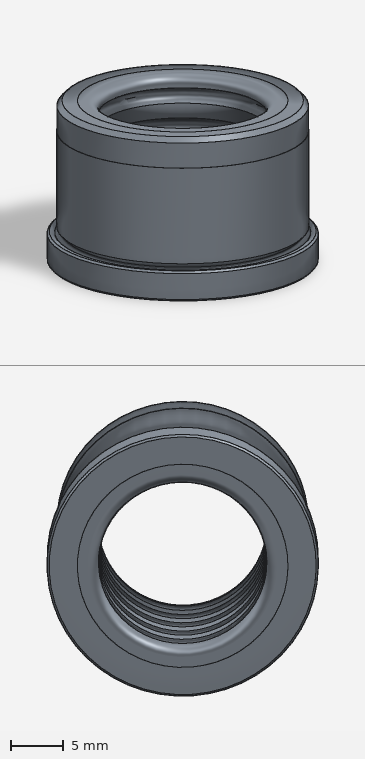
import cadquery as cq

HEIGHT = 16.0
FLANGE_RADIUS = 12.9
FLANGE_HEIGHT = 3.0
FLANGE_CHAMFER = 0.2

BARREL_RADIUS = 12.0
LEAD_RADIUS = 11.97
LEAD_LENGTH = 3.0
BARREL_CHAMFER = 0.5

RELIEF_OUTER_RADIUS = 12.5
RELIEF_SLOPE_END_RADIUS = 12.18
RELIEF_SLOPE_DROP = 0.08
RELIEF_ROOT_RADIUS = BARREL_RADIUS - BARREL_CHAMFER
RELIEF_WALL_DEPTH = 0.1

LINER_RADIUS = 10.0
BORE_RADIUS = 8.0
BORE_FILLET = 1.0
GROOVE_COUNT = 5
GROOVE_PITCH = 3.0
GROOVE_RADIUS = 0.75


def make_sleeve():
    """Flanged sleeve, revolved from its half section."""
    slope_end_z = FLANGE_HEIGHT - RELIEF_SLOPE_DROP
    root_z = FLANGE_HEIGHT - RELIEF_WALL_DEPTH
    undercut_radius = (RELIEF_SLOPE_END_RADIUS - RELIEF_ROOT_RADIUS) / 2
    undercut_bottom = (RELIEF_ROOT_RADIUS + undercut_radius, root_z - undercut_radius)
    section = (
        cq.Workplane("XZ")
        .moveTo(LINER_RADIUS, 0)
        .lineTo(FLANGE_RADIUS - FLANGE_CHAMFER, 0)
        .lineTo(FLANGE_RADIUS, FLANGE_CHAMFER)
        .lineTo(FLANGE_RADIUS, FLANGE_HEIGHT - FLANGE_CHAMFER)
        .lineTo(FLANGE_RADIUS - FLANGE_CHAMFER, FLANGE_HEIGHT)
        .lineTo(RELIEF_OUTER_RADIUS, FLANGE_HEIGHT)
        .lineTo(RELIEF_SLOPE_END_RADIUS, slope_end_z)
        .threePointArc(undercut_bottom, (RELIEF_ROOT_RADIUS, root_z))
        .lineTo(RELIEF_ROOT_RADIUS, FLANGE_HEIGHT)
        .lineTo(BARREL_RADIUS, FLANGE_HEIGHT + BARREL_CHAMFER)
        .lineTo(BARREL_RADIUS, HEIGHT - LEAD_LENGTH)
        .lineTo(LEAD_RADIUS, HEIGHT - LEAD_LENGTH)
        .lineTo(LEAD_RADIUS, HEIGHT - BARREL_CHAMFER)
        .lineTo(LEAD_RADIUS - BARREL_CHAMFER, HEIGHT)
        .lineTo(LINER_RADIUS, HEIGHT)
        .close()
    )
    return section.revolve(360, (0, 0, 0), (0, 1, 0))


def make_ring_groove(center_z):
    """Torus that cuts a half-round ring groove into the bore."""
    return (
        cq.Workplane("XZ")
        .center(BORE_RADIUS, center_z)
        .circle(GROOVE_RADIUS)
        .revolve(360, (-BORE_RADIUS, 0, 0), (-BORE_RADIUS, 1, 0))
    )


def make_liner():
    """Tube with rounded bore ends and evenly spaced ring grooves about mid-height."""
    liner = (
        cq.Workplane("XY")
        .circle(LINER_RADIUS)
        .circle(BORE_RADIUS)
        .extrude(HEIGHT)
    )
    bore_ends = cq.selectors.RadiusNthSelector(0)
    liner = liner.edges(bore_ends).fillet(BORE_FILLET)

    first_groove_z = HEIGHT / 2 - GROOVE_PITCH * (GROOVE_COUNT - 1) / 2
    for index in range(GROOVE_COUNT):
        liner = liner.cut(make_ring_groove(first_groove_z + index * GROOVE_PITCH))
    return liner


sleeve = make_sleeve()
liner = make_liner()

result = cq.Compound.makeCompound([sleeve.val(), liner.val()])